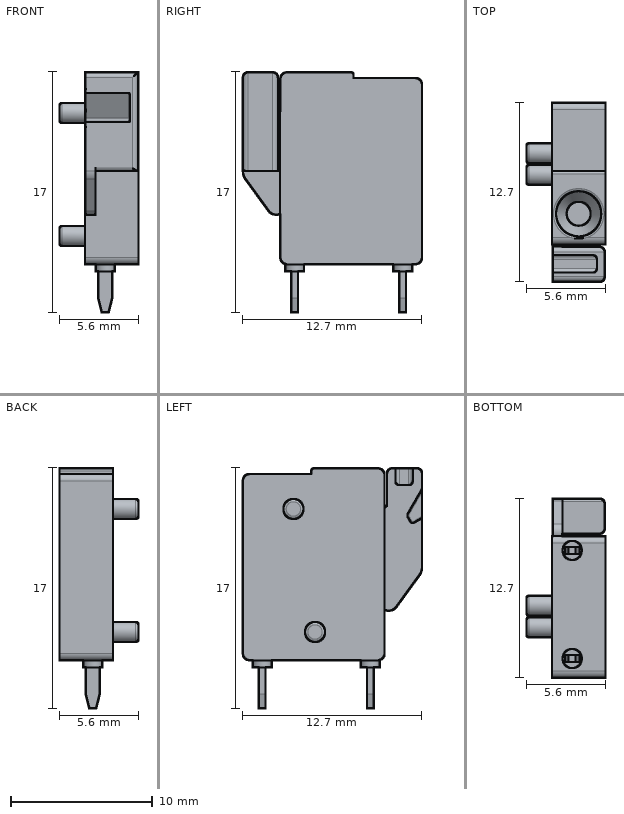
import cadquery as cq
import math


HOUSING_WIDTH = 3.8
HOUSING_DEPTH = 10.05
HOUSING_HEIGHT = 13.6
HOUSING_CORNER_RADIUS = 0.5
RAISED_TOP_DEPTH = 5.2
TOP_STEP = 0.4
TOP_STEP_RADIUS = 0.2

ENTRY_Y = 2.18
ENTRY_RADIUS = 1.6
ENTRY_RIM_RADIUS = 0.19
ENTRY_FLOOR_RADIUS = 0.85
ENTRY_BORE_DEPTH = 3.4
ENTRY_CONE_ANGLE = math.radians(60)
ENTRY_CONE_DEPTH = (ENTRY_RADIUS - ENTRY_FLOOR_RADIUS) * math.tan(ENTRY_CONE_ANGLE)

PEG_CENTRES = [(6.46, 10.71), (4.93, 2.0)]
PEG_RADIUS = 0.71
PEG_LENGTH = 1.8
PEG_TIP_RADIUS = 0.2

PIN_X = 1.45
FRONT_PIN_Y = 1.02
PIN_PITCH = 7.65
PIN_LENGTH = 3.4
COLLAR_RADIUS = 0.68
COLLAR_HEIGHT = 0.5
BLADE_WIDTH = 1.0
BLADE_THICKNESS = 0.5
BLADE_TIP_WIDTH = 0.5
BLADE_TAPER_LENGTH = 1.0

BUTTON_DEPTH = 2.65
BUTTON_SIDE_CLEARANCE = 0.05
BUTTON_GAP = 0.15
BUTTON_EDGE_RADIUS = 0.39
BUTTON_LOWER_EDGE_RADIUS = 0.2
BUTTON_LEFT = BUTTON_SIDE_CLEARANCE
BUTTON_RIGHT = HOUSING_WIDTH - BUTTON_SIDE_CLEARANCE
BUTTON_WIDTH = BUTTON_RIGHT - BUTTON_LEFT
BUTTON_FRONT_Y = -BUTTON_DEPTH
BUTTON_TOP_Z = HOUSING_HEIGHT

ARM_WIDTH = 0.7
ARM_CONTACT_TOP_Z = 10.81
ARM_SLOPE_ANGLE = math.radians(36)
ARM_KNEE_RADIUS = 1.0
ARM_END_RADIUS = 0.7
ARM_END_Y = -0.27
ARM_END_Z = 4.2

RECESS_END_X = 3.2
SLOT_BACK_Y = -0.75
SLOT_WIDTH = 1.24
SLOT_DEPTH = 1.2
SLOT_CORNER_RADIUS = 0.3
NOTCH_TOP_DROP = 1.46
NOTCH_DEPTH = 1.09
NOTCH_FLOOR_LENGTH = 0.7
NOTCH_ANGLE = math.radians(30)
NOTCH_CORNER_RADIUS = 0.2
NOTCH_END_RADIUS = 0.1

CUT_MARGIN = 0.34


def extrude_along_x(profile_points, x_start, x_end):
    """Extrude a closed polygon of (Y, Z) points between two X positions."""
    workplane = cq.Workplane("YZ", origin=(x_start, 0, 0))
    return workplane.polyline(profile_points).close().extrude(x_end - x_start)


def make_housing_block():
    step_y = RAISED_TOP_DEPTH
    rear_top_z = HOUSING_HEIGHT - TOP_STEP
    block = extrude_along_x(
        [
            (0, 0),
            (HOUSING_DEPTH, 0),
            (HOUSING_DEPTH, rear_top_z),
            (step_y, rear_top_z),
            (step_y, HOUSING_HEIGHT),
            (0, HOUSING_HEIGHT),
        ],
        0,
        HOUSING_WIDTH,
    )
    block = block.edges("|X and (<Y or >Y)").fillet(HOUSING_CORNER_RADIUS)
    step_edge = cq.selectors.NearestToPointSelector((HOUSING_WIDTH / 2, step_y, HOUSING_HEIGHT))
    return block.edges(step_edge).fillet(TOP_STEP_RADIUS)


def make_entry_hole():
    """Bore with a rounded rim and a conical bottom, drawn as (radius, height) and revolved."""
    rim_outer_radius = ENTRY_RADIUS + ENTRY_RIM_RADIUS
    rim_arc_offset = ENTRY_RIM_RADIUS * (1 - math.sqrt(0.5))
    top_centre = cq.Workplane("XZ", origin=(HOUSING_WIDTH / 2, ENTRY_Y, HOUSING_HEIGHT))
    half_section = (
        top_centre.moveTo(0, CUT_MARGIN)
        .lineTo(rim_outer_radius, CUT_MARGIN)
        .lineTo(rim_outer_radius, 0)
        .threePointArc((ENTRY_RADIUS + rim_arc_offset, -rim_arc_offset), (ENTRY_RADIUS, -ENTRY_RIM_RADIUS))
        .lineTo(ENTRY_RADIUS, -ENTRY_BORE_DEPTH)
        .lineTo(ENTRY_FLOOR_RADIUS, -ENTRY_BORE_DEPTH - ENTRY_CONE_DEPTH)
        .lineTo(0, -ENTRY_BORE_DEPTH - ENTRY_CONE_DEPTH)
        .close()
    )
    return half_section.revolve(360, (0, 0, 0), (0, 1, 0))


def make_peg(y, z):
    peg = cq.Workplane("YZ", origin=(0, y, z)).circle(PEG_RADIUS).extrude(-PEG_LENGTH)
    return peg.faces("<X").edges().fillet(PEG_TIP_RADIUS)


def make_housing():
    housing = make_housing_block().cut(make_entry_hole())
    for y, z in PEG_CENTRES:
        housing = housing.union(make_peg(y, z))
    return housing


def make_pin(y):
    """Round collar under the housing with a flat blade that tapers to its tip."""
    collar = cq.Workplane("XY", origin=(PIN_X, y, 0)).circle(COLLAR_RADIUS).extrude(-COLLAR_HEIGHT)
    taper_z = -PIN_LENGTH + BLADE_TAPER_LENGTH
    blade = (
        cq.Workplane("XZ", origin=(PIN_X, y, 0))
        .polyline(
            [
                (-BLADE_WIDTH / 2, -COLLAR_HEIGHT),
                (BLADE_WIDTH / 2, -COLLAR_HEIGHT),
                (BLADE_WIDTH / 2, taper_z),
                (BLADE_TIP_WIDTH / 2, -PIN_LENGTH),
                (-BLADE_TIP_WIDTH / 2, -PIN_LENGTH),
                (-BLADE_WIDTH / 2, taper_z),
            ]
        )
        .close()
        .extrude(BLADE_THICKNESS / 2, both=True)
    )
    return collar.union(blade)


SLOPE_END_Y = ARM_END_Y - ARM_END_RADIUS * math.cos(ARM_SLOPE_ANGLE)
SLOPE_END_Z = ARM_END_Z - ARM_END_RADIUS * math.sin(ARM_SLOPE_ANGLE)
KNEE_Z = SLOPE_END_Z + (SLOPE_END_Y - BUTTON_FRONT_Y) / math.tan(ARM_SLOPE_ANGLE)
KNEE_START_Z = KNEE_Z + ARM_KNEE_RADIUS * math.tan(ARM_SLOPE_ANGLE / 2)


def round_top_edges(block):
    return block.faces(">Z").edges("|X").fillet(BUTTON_EDGE_RADIUS)


def make_arm():
    contact_bottom_z = ARM_END_Z - math.sqrt(ARM_END_RADIUS**2 - ARM_END_Y**2)
    arm = (
        cq.Workplane("YZ", origin=(BUTTON_LEFT, 0, 0))
        .moveTo(-BUTTON_GAP, BUTTON_TOP_Z)
        .lineTo(-BUTTON_GAP, ARM_CONTACT_TOP_Z + BUTTON_GAP)
        .lineTo(0, ARM_CONTACT_TOP_Z)
        .lineTo(0, contact_bottom_z)
        .threePointArc((ARM_END_Y, ARM_END_Z - ARM_END_RADIUS), (SLOPE_END_Y, SLOPE_END_Z))
        .lineTo(BUTTON_FRONT_Y, KNEE_Z)
        .lineTo(BUTTON_FRONT_Y, BUTTON_TOP_Z)
        .close()
        .extrude(ARM_WIDTH)
    )
    knee = cq.selectors.NearestToPointSelector((BUTTON_LEFT + ARM_WIDTH / 2, BUTTON_FRONT_Y, KNEE_Z))
    return round_top_edges(arm.edges(knee).fillet(ARM_KNEE_RADIUS))


def make_head():
    """Full-width upper part of the button, rounded on its free edges."""
    head = extrude_along_x(
        [
            (-BUTTON_GAP, KNEE_START_Z),
            (-BUTTON_GAP, BUTTON_TOP_Z),
            (BUTTON_FRONT_Y, BUTTON_TOP_Z),
            (BUTTON_FRONT_Y, KNEE_START_Z),
        ],
        BUTTON_LEFT,
        BUTTON_RIGHT,
    )
    head = round_top_edges(head).faces("<Z").edges("<Y").fillet(BUTTON_LOWER_EDGE_RADIUS)
    plan = (
        cq.Workplane("XY", origin=(BUTTON_LEFT, BUTTON_FRONT_Y, 0))
        .rect(BUTTON_WIDTH, BUTTON_DEPTH - BUTTON_GAP, centered=False)
        .extrude(BUTTON_TOP_Z)
        .edges("|Z and >X")
        .fillet(BUTTON_EDGE_RADIUS)
    )
    return head.intersect(plan)


def make_slot():
    """Slot open at the top and the -X side, with rounded floor edges and end corners."""
    start_x = BUTTON_LEFT - CUT_MARGIN
    length = RECESS_END_X - start_x
    front_y = SLOT_BACK_Y - SLOT_WIDTH
    floor_z = BUTTON_TOP_Z - SLOT_DEPTH
    blank = cq.Workplane("XY", origin=(start_x, front_y, floor_z)).rect(length, SLOT_WIDTH, centered=False)
    blank = blank.extrude(SLOT_DEPTH + CUT_MARGIN)
    rounded_floor = blank.faces("<Z").edges("|X").fillet(SLOT_CORNER_RADIUS)
    rounded_end = blank.faces(">X").edges("|Z").fillet(SLOT_CORNER_RADIUS)
    return rounded_floor.intersect(rounded_end)


def make_notch():
    """Hooked finger notch in the front face, open on the -X side."""
    upper_run = 1 / math.tan(NOTCH_ANGLE)
    lower_run = math.tan(NOTCH_ANGLE)
    inner_y = BUTTON_FRONT_Y + NOTCH_DEPTH
    inner_z = BUTTON_TOP_Z - NOTCH_TOP_DROP - NOTCH_DEPTH * upper_run
    low_y = inner_y - NOTCH_FLOOR_LENGTH * math.sin(NOTCH_ANGLE)
    low_z = inner_z - NOTCH_FLOOR_LENGTH * math.cos(NOTCH_ANGLE)
    outside_y = BUTTON_FRONT_Y - CUT_MARGIN
    notch = extrude_along_x(
        [
            (outside_y, inner_z + (inner_y - outside_y) * upper_run),
            (inner_y, inner_z),
            (low_y, low_z),
            (outside_y, low_z + (low_y - outside_y) * lower_run),
        ],
        BUTTON_LEFT - CUT_MARGIN,
        RECESS_END_X,
    )
    for corner_y, corner_z in [(inner_y, inner_z), (low_y, low_z)]:
        corner = cq.selectors.NearestToPointSelector((RECESS_END_X / 2, corner_y, corner_z))
        notch = notch.edges(corner).fillet(NOTCH_CORNER_RADIUS)
    return notch.faces(">X").edges().fillet(NOTCH_END_RADIUS)


def make_button():
    return make_head().union(make_arm()).cut(make_slot()).cut(make_notch())


housing = make_housing()
button = make_button()
pins = [make_pin(FRONT_PIN_Y + index * PIN_PITCH) for index in range(2)]

result = cq.Compound.makeCompound([body.solids().val() for body in [housing, button, *pins]])